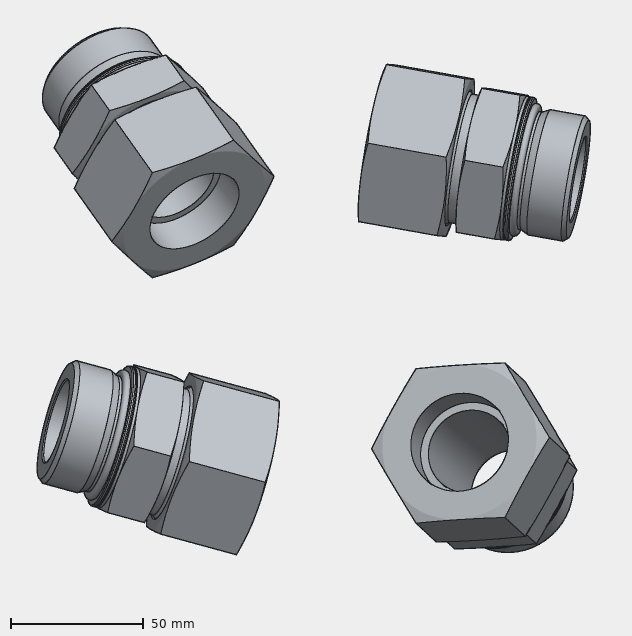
import cadquery as cq
import math

TOTAL_LENGTH = 78.5

STUD_RADIUS = 24.0
STUD_ROOT_RADIUS = 22.6
STUD_TIP_RADIUS = STUD_ROOT_RADIUS
STUD_TIP_CHAMFER = 1.7
RELIEF_TAPER_START = 14.9
RELIEF_START = 17.8

COLLAR_FACE = 21.4
COLLAR_RADIUS = 27.4
COLLAR_CHAMFER_LENGTH = 0.5
COLLAR_CHAMFER_DEPTH = 0.3
GROOVE_START = 22.6
GROOVE_BOTTOM = 23.15
GROOVE_END = 23.45
GROOVE_DEPTH = 0.3

BODY_HEX_START = 24.6
BODY_HEX_END = 41.5
BODY_HEX_FLATS = 55.0

NECK_RADIUS = 24.6
NECK_END = 45.1
COUPLING_RADIUS = 26.0
COUPLING_LEAD_ANGLE = 35.0
BODY_LENGTH = 64.0

BORE_RADIUS = 16.0
BORE_CHAMFER = 0.5

SEAL_START = 18.9
SEAL_CROWN_RADIUS = 1.5
SEAL_OUTER_RADIUS = 25.4

NUT_START = 46.0
NUT_FLATS = 60.0
NUT_TUBE_HOLE_RADIUS = 19.0

HEX_CHAMFER_ANGLE = 15.0


def revolve_about_x(profile):
    """Full turn of an (x, radius) profile about the X axis."""
    return profile.close().revolve(360, (0, 0, 0), (1, 0, 0))


def cylinder(x_start, x_end, radius):
    return cq.Workplane("YZ", origin=(x_start, 0, 0)).circle(radius).extrude(x_end - x_start)


def chamfered_hexagon(x_start, x_end, across_flats):
    """Hexagon with flats at +Z and -Z, its corners turned off conically at both ends."""
    corner_radius = across_flats / math.sqrt(3)
    face_radius = across_flats / 2
    chamfer_length = (corner_radius - face_radius) * math.tan(math.radians(HEX_CHAMFER_ANGLE))
    hexagon = (
        cq.Workplane("YZ", origin=(x_start, 0, 0))
        .polygon(6, 2 * corner_radius)
        .extrude(x_end - x_start)
    )
    envelope = revolve_about_x(
        cq.Workplane("XY")
        .moveTo(x_start, 0)
        .lineTo(x_start, face_radius)
        .lineTo(x_start + chamfer_length, corner_radius)
        .lineTo(x_end - chamfer_length, corner_radius)
        .lineTo(x_end, face_radius)
        .lineTo(x_end, 0)
    )
    return hexagon.intersect(envelope)


def make_body():
    lead_length = (COUPLING_RADIUS - NECK_RADIUS) / math.tan(math.radians(COUPLING_LEAD_ANGLE))
    turned = revolve_about_x(
        cq.Workplane("XY")
        .moveTo(0, BORE_RADIUS + BORE_CHAMFER)
        .lineTo(0, STUD_TIP_RADIUS)
        .lineTo(STUD_TIP_CHAMFER, STUD_RADIUS)
        .lineTo(RELIEF_TAPER_START, STUD_RADIUS)
        .lineTo(RELIEF_START, STUD_ROOT_RADIUS)
        .lineTo(COLLAR_FACE, STUD_ROOT_RADIUS)
        .lineTo(COLLAR_FACE, COLLAR_RADIUS - COLLAR_CHAMFER_DEPTH)
        .lineTo(COLLAR_FACE + COLLAR_CHAMFER_LENGTH, COLLAR_RADIUS)
        .lineTo(GROOVE_START, COLLAR_RADIUS)
        .lineTo(GROOVE_BOTTOM, COLLAR_RADIUS - GROOVE_DEPTH)
        .lineTo(GROOVE_END, COLLAR_RADIUS)
        .lineTo(BODY_HEX_START, COLLAR_RADIUS)
        .lineTo(BODY_HEX_START, NECK_RADIUS)
        .lineTo(NECK_END, NECK_RADIUS)
        .lineTo(NECK_END + lead_length, COUPLING_RADIUS)
        .lineTo(BODY_LENGTH, COUPLING_RADIUS)
        .lineTo(BODY_LENGTH, BORE_RADIUS)
        .lineTo(BORE_CHAMFER, BORE_RADIUS)
    )
    hexagon = chamfered_hexagon(BODY_HEX_START, BODY_HEX_END, BODY_HEX_FLATS)
    return turned.union(hexagon.cut(cylinder(BODY_HEX_START, BODY_HEX_END, BORE_RADIUS)))


def make_seal():
    """Ring with a rounded crown, seated in the relief against the collar face."""
    crown_x = SEAL_START + SEAL_CROWN_RADIUS
    crown_centre_radius = SEAL_OUTER_RADIUS - SEAL_CROWN_RADIUS
    back_offset = COLLAR_FACE - crown_x
    back_radius = crown_centre_radius + math.sqrt(SEAL_CROWN_RADIUS**2 - back_offset**2)
    return revolve_about_x(
        cq.Workplane("XY")
        .moveTo(SEAL_START, STUD_ROOT_RADIUS)
        .lineTo(SEAL_START, crown_centre_radius)
        .radiusArc((crown_x, SEAL_OUTER_RADIUS), SEAL_CROWN_RADIUS)
        .radiusArc((COLLAR_FACE, back_radius), SEAL_CROWN_RADIUS)
        .lineTo(COLLAR_FACE, STUD_ROOT_RADIUS)
    )


def make_nut():
    """Nut that sits on the coupling end of the body and leaves a tube hole in its end wall."""
    nut = chamfered_hexagon(NUT_START, TOTAL_LENGTH, NUT_FLATS)
    nut = nut.cut(cylinder(NUT_START, BODY_LENGTH, COUPLING_RADIUS))
    return nut.cut(cylinder(BODY_LENGTH, TOTAL_LENGTH, NUT_TUBE_HOLE_RADIUS))


body = make_body()
seal = make_seal()
nut = make_nut()

result = cq.Compound.makeCompound([body.val(), seal.val(), nut.val()])